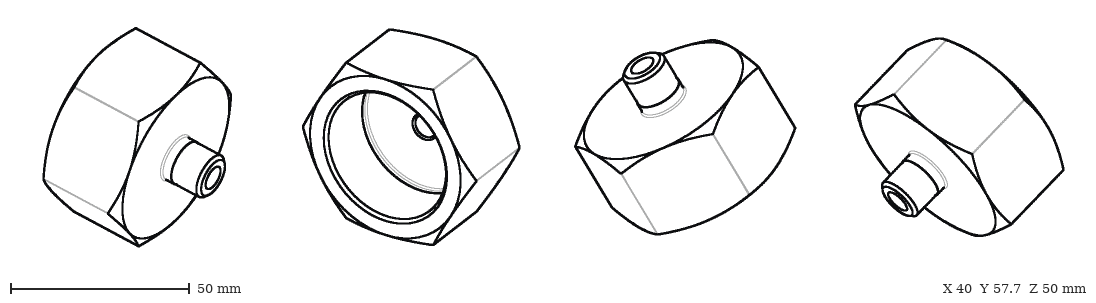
import cadquery as cq
import math

across_corners = 57.65
corner_radius = 0.3
body_length = 27.0
corner_bevel_angle = 30.0

socket_diameter = 38.95
socket_mouth_diameter = 40.9
socket_depth = 20.5
relief_diameter = 39.15
relief_length = 2.0
socket_floor_fillet = 0.5

total_length = 40.0
spigot_diameter = 13.15
spigot_chamfer = 1.0
neck_diameter = 13.4
neck_length = 3.35
neck_root_fillet = 0.5

hole_diameter = 7.0
countersink_diameter = 8.1

corner_stretch = 1 / math.cos(math.radians(30))
sharp_corners = across_corners + 2 * corner_radius * (corner_stretch - 1)
across_flats = sharp_corners / corner_stretch


def cylinder(diameter, start, length):
    """Cylinder on the X axis, running from X = start."""
    return cq.Workplane("YZ", origin=(start, 0, 0)).circle(diameter / 2).extrude(length)


def turned(profile):
    """Solid turned about the X axis from (x, radius) points that start and end on the axis."""
    return cq.Workplane("XY").polyline(profile).close().revolve(360, (0, 0, 0), (1, 0, 0))


def tapered_mouth(wide_diameter, narrow_diameter, start):
    """45 degree cone on the X axis, narrowing from X = start."""
    length = (wide_diameter - narrow_diameter) / 2
    return turned([
        (start, 0),
        (start, wide_diameter / 2),
        (start + length, narrow_diameter / 2),
        (start + length, 0),
    ])


def beveled_blank():
    """Round blank whose ends taper to the across-flats circle, to bevel the hexagon corners."""
    blank_radius = sharp_corners / 2
    end_radius = across_flats / 2
    bevel_length = (blank_radius - end_radius) * math.tan(math.radians(corner_bevel_angle))
    return turned([
        (0, 0),
        (0, end_radius),
        (bevel_length, blank_radius),
        (body_length - bevel_length, blank_radius),
        (body_length, end_radius),
        (body_length, 0),
    ])


def hexagonal_body():
    """Hexagon with flats facing up and down, rounded corners and beveled ends."""
    hexagon = cq.Workplane("YZ").polygon(6, sharp_corners).extrude(body_length)
    return hexagon.edges("|X").fillet(corner_radius).intersect(beveled_blank())


def spigot():
    """Neck with a flared root, then the main diameter with a chamfered tip."""
    neck_end = body_length + neck_length
    neck_radius = neck_diameter / 2
    neck = (
        cq.Workplane("XY")
        .moveTo(body_length, 0)
        .lineTo(body_length, neck_radius + neck_root_fillet)
        .radiusArc((body_length + neck_root_fillet, neck_radius), -neck_root_fillet)
        .lineTo(neck_end, neck_radius)
        .lineTo(neck_end, 0)
        .close()
        .revolve(360, (0, 0, 0), (1, 0, 0))
    )
    main = cylinder(spigot_diameter, neck_end, total_length - neck_end)
    return neck.union(main.faces(">X").chamfer(spigot_chamfer))


def socket():
    """Space inside the socket: tapered mouth, plain bore, and a relief with a rounded floor edge."""
    relief_start = socket_depth - relief_length
    mouth = tapered_mouth(socket_mouth_diameter, socket_diameter, 0)
    bore = cylinder(socket_diameter, 0, relief_start)
    relief = cylinder(relief_diameter, relief_start, relief_length)
    return bore.union(mouth).union(relief.faces(">X").edges().fillet(socket_floor_fillet))


def through_hole():
    """Hole along the whole axis, countersunk where it leaves the socket floor."""
    hole = cylinder(hole_diameter, 0, total_length)
    return hole.union(tapered_mouth(countersink_diameter, hole_diameter, socket_depth))


result = hexagonal_body().union(spigot()).cut(socket()).cut(through_hole())